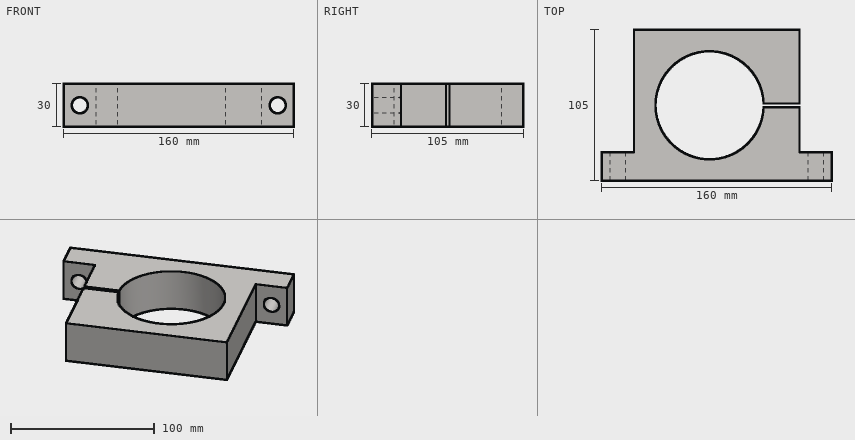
import cadquery as cq

foot_length = 160.0
foot_height = 20.0
foot_hole_diameter = 11.0
foot_hole_spacing = 137.5

block_width = 115.0
total_height = 105.0
thickness = 30.0

bore_diameter = 75.0
bore_offset_x = -5.0
bore_center_y = total_height / 2
slit_width = 2.5


def make_body():
    """Foot and clamp block, with the underside of the foot on the XZ plane."""
    centered_x = (True, False, True)
    foot = cq.Workplane("XY").box(foot_length, foot_height, thickness, centered=centered_x)
    block = cq.Workplane("XY").box(block_width, total_height, thickness, centered=centered_x)
    return foot.union(block)


def make_bore():
    """Through bore along Z."""
    return (
        cq.Workplane("XY")
        .center(bore_offset_x, bore_center_y)
        .circle(bore_diameter / 2)
        .extrude(thickness / 2, both=True)
    )


def make_slit():
    """Clamping slit from the bore axis out through the +X side of the block."""
    slit_length = block_width / 2 - bore_offset_x
    return (
        cq.Workplane("XY")
        .box(slit_length, slit_width, thickness, centered=(False, True, True))
        .translate((bore_offset_x, bore_center_y, 0))
    )


def make_foot_holes():
    """Mounting holes through the two ends of the foot, along Y."""
    half_spacing = foot_hole_spacing / 2
    return (
        cq.Workplane("XZ")
        .pushPoints([(-half_spacing, 0), (half_spacing, 0)])
        .circle(foot_hole_diameter / 2)
        .extrude(-foot_height)
    )


result = make_body().cut(make_bore()).cut(make_slit()).cut(make_foot_holes())